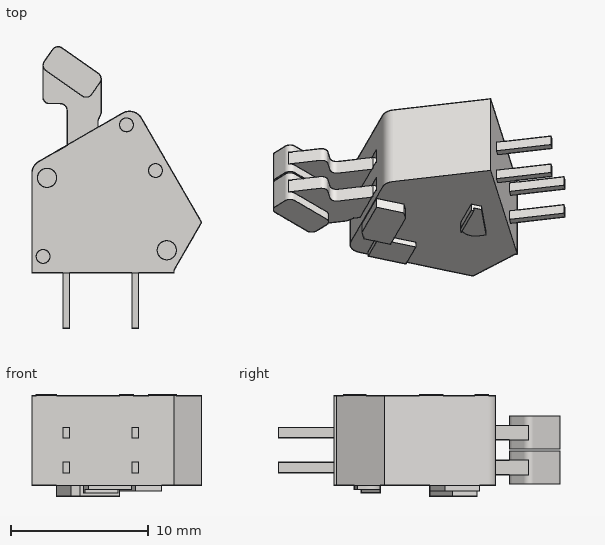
import cadquery as cq
import math

ROOF_ANGLE = 30.0
COS_ROOF = math.cos(math.radians(ROOF_ANGLE))
SIN_ROOF = math.sin(math.radians(ROOF_ANGLE))
ROOF_SLOPE = SIN_ROOF / COS_ROOF

HOUSING_HEIGHT = 6.5
LEFT_WALL = 7.79
NOSE_X = 12.33
NOSE_Y = 3.65
FRONT_WIDTH = 10.32
FRONT_LIP = 0.18
CORNER_RADIUS = 1.0

PAD_HEIGHT = 0.08
SMALL_PAD_DIAMETER = 1.0
LARGE_PAD_DIAMETER = 1.4
SMALL_PADS = [(0.82, 1.19), (8.97, 7.42), (6.87, 10.73)]
LARGE_PADS = [(1.1, 6.89), (9.8, 1.64)]

POLE_LEVELS = [1.29, 3.82]

PIN_LENGTH = 4.03
PIN_WIDTH = 0.5
PIN_HEIGHT = 0.78
PIN_CENTRES_X = [2.5, 7.5]

LEVER_THICKNESS = 1.06
ARM_LEFT = 0.8
ARM_RIGHT = 5.05
ARM_SHELF_Y = 12.26
ARM_HEAD_LEFT_Y = 15.08
ARM_HEAD_RIGHT_Y = 14.1
STEM_LEFT = 2.55
STEM_RIGHT = 4.8
STEM_STEP_TOP = 11.59
STEM_STEP_BOTTOM = 11.04
STEM_TAPER_Y = 9.18
STEM_ROOT_Y = 8.18
LEVER_RADIUS = 0.5
HEAD_LENGTH = 4.2
HEAD_WIDTH = 2.02
HEAD_HEIGHT = 2.41
HEAD_TILT = -35.0
HEAD_X = 2.92
HEAD_Y = 14.57

NOTCH_FLOOR_Y = 8.77

LATCH_LENGTH = 3.9
LATCH_WIDTH = 2.43
LATCH_START = 5.93
LATCH_SIDE = 4.27
LATCH_DEPTH = 0.8
LATCH_LOW_Y = 6.95
LATCH_HIGH_Y = 10.38
PLATE_LENGTH = 2.19
PLATE_WIDTH = 2.9
PLATE_START = 10.0
PLATE_SIDE = 2.27
PLATE_DEPTH = 0.43

FOOT_LEFT = (3.75, 2.15)
FOOT_FRONT = (4.13, 1.47)
FOOT_RIGHT_X = 7.22
FOOT_RIGHT_Y = 1.72
FOOT_DEPTH = 0.3
FOOT_RADIUS = 1.06
RIB_DEPTH = 0.55
RIB_WIDTH = 0.2


def make_housing():
    """Five-sided block with the two roof corners rounded."""
    peak_x = (NOSE_Y - LEFT_WALL + NOSE_X / ROOF_SLOPE) / (ROOF_SLOPE + 1 / ROOF_SLOPE)
    peak_y = LEFT_WALL + ROOF_SLOPE * peak_x
    outline = [
        (0, 0),
        (FRONT_WIDTH, 0),
        (FRONT_WIDTH, FRONT_LIP),
        (NOSE_X, NOSE_Y),
        (peak_x, peak_y),
        (0, LEFT_WALL),
    ]
    block = cq.Workplane("XY").polyline(outline).close().extrude(HOUSING_HEIGHT)
    for x, y in [(peak_x, peak_y), (0, LEFT_WALL)]:
        corner = cq.selectors.NearestToPointSelector((x, y, HOUSING_HEIGHT / 2))
        block = block.edges("|Z").edges(corner).fillet(CORNER_RADIUS)
    return block


def make_pads(centres, diameter):
    """Low round pads on top of the housing."""
    top = cq.Workplane("XY").workplane(offset=HOUSING_HEIGHT)
    return top.pushPoints(centres).circle(diameter / 2).extrude(PAD_HEIGHT)


def make_pin(x, level):
    """Straight rectangular pin out of the front wall."""
    front = cq.Workplane("XZ").center(x, level)
    return front.rect(PIN_WIDTH, PIN_HEIGHT).extrude(PIN_LENGTH)


def make_notch(level):
    """Wedge cut out of the roof, from the roof line down to a level floor."""
    floor_start = (NOTCH_FLOOR_Y - LEFT_WALL) / ROOF_SLOPE
    outline = [
        (floor_start, NOTCH_FLOOR_Y),
        (STEM_RIGHT, NOTCH_FLOOR_Y),
        (STEM_RIGHT, LEFT_WALL + ROOF_SLOPE * STEM_RIGHT),
    ]
    base = cq.Workplane("XY").workplane(offset=level - LEVER_THICKNESS / 2)
    return base.polyline(outline).close().extrude(LEVER_THICKNESS)


def make_lever(level):
    """Flat cranked arm with a thicker tilted head."""
    taper = (STEM_TAPER_Y - STEM_ROOT_Y) * ROOF_SLOPE
    outline = [
        (ARM_LEFT, ARM_HEAD_LEFT_Y),
        (ARM_LEFT, ARM_SHELF_Y),
        (STEM_LEFT, ARM_SHELF_Y),
        (STEM_LEFT, STEM_TAPER_Y),
        (STEM_LEFT + taper, STEM_ROOT_Y),
        (STEM_RIGHT, STEM_ROOT_Y),
        (STEM_RIGHT, STEM_STEP_BOTTOM),
        (ARM_RIGHT, STEM_STEP_TOP),
        (ARM_RIGHT, ARM_HEAD_RIGHT_Y),
    ]
    base = cq.Workplane("XY").workplane(offset=level - LEVER_THICKNESS / 2)
    arm = base.polyline(outline).close().extrude(LEVER_THICKNESS)
    for x in [ARM_LEFT, STEM_LEFT]:
        bend = cq.selectors.NearestToPointSelector((x, ARM_SHELF_Y, level))
        arm = arm.edges("|Z").edges(bend).fillet(LEVER_RADIUS)

    head = cq.Workplane("XY").box(HEAD_LENGTH, HEAD_WIDTH, HEAD_HEIGHT)
    head = head.edges("|Z").fillet(LEVER_RADIUS)
    head = head.rotate((0, 0, 0), (0, 0, 1), HEAD_TILT)
    return arm.union(head.translate((HEAD_X, HEAD_Y, level)))


def make_roof_aligned_block(start, side, length, width, depth):
    """Rectangular block hanging below Z = 0 with its length parallel to the roof."""
    block = cq.Workplane("XY").box(length, width, depth, centered=False)
    return block.translate((start, side, -depth)).rotate((0, 0, 0), (0, 0, 1), ROOF_ANGLE)


def make_latch():
    """Latch block with its lowest and highest corners cut flat, and a thinner plate next to it."""
    block = make_roof_aligned_block(LATCH_START, LATCH_SIDE, LATCH_LENGTH, LATCH_WIDTH, LATCH_DEPTH)
    band = cq.Workplane("XY").box(NOSE_X, LATCH_HIGH_Y - LATCH_LOW_Y, LATCH_DEPTH, centered=False)
    block = block.intersect(band.translate((0, LATCH_LOW_Y, -LATCH_DEPTH)))
    plate = make_roof_aligned_block(PLATE_START, PLATE_SIDE, PLATE_LENGTH, PLATE_WIDTH, PLATE_DEPTH)
    return block.union(plate)


def make_foot():
    """Foot with one rounded corner; only a strip along its upper edge is full depth."""
    left_x, left_y = FOOT_LEFT
    corner_y = left_y + ROOF_SLOPE * (FOOT_RIGHT_X - left_x)
    outline = [FOOT_LEFT, FOOT_FRONT, (FOOT_RIGHT_X, FOOT_RIGHT_Y), (FOOT_RIGHT_X, corner_y)]
    foot = cq.Workplane("XY").polyline(outline).close().extrude(-RIB_DEPTH)
    corner = cq.selectors.NearestToPointSelector((FOOT_RIGHT_X, corner_y, -RIB_DEPTH / 2))
    foot = foot.edges("|Z").edges(corner).fillet(FOOT_RADIUS)

    upper_edge = left_y * COS_ROOF - left_x * SIN_ROOF
    relief = cq.Workplane("XY").box(2 * NOSE_X, NOSE_X, RIB_DEPTH, centered=(True, False, False))
    relief = relief.translate((0, upper_edge - RIB_WIDTH - NOSE_X, -FOOT_DEPTH - RIB_DEPTH))
    return foot.cut(relief.rotate((0, 0, 0), (0, 0, 1), ROOF_ANGLE))


result = make_housing()
for pole_level in POLE_LEVELS:
    result = result.cut(make_notch(pole_level))
    result = result.union(make_lever(pole_level))
    for pin_x in PIN_CENTRES_X:
        result = result.union(make_pin(pin_x, pole_level))
result = result.union(make_pads(SMALL_PADS, SMALL_PAD_DIAMETER))
result = result.union(make_pads(LARGE_PADS, LARGE_PAD_DIAMETER))
result = result.union(make_latch())
result = result.union(make_foot())